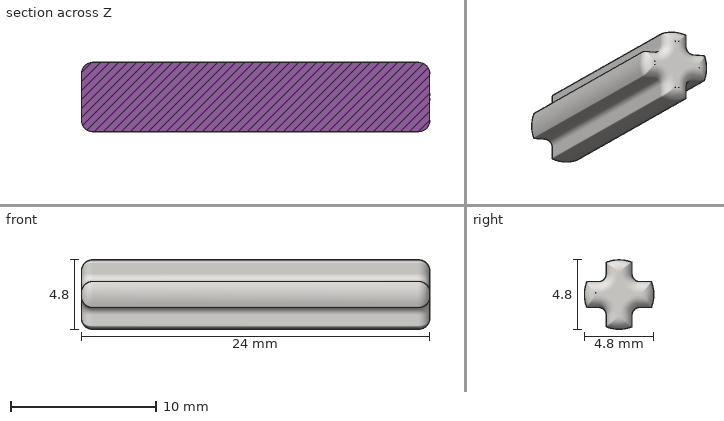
import cadquery as cq

length = 24.0
outer_diameter = 4.8
arm_width = 1.8
inner_corner_radius = 0.5
end_radius = 0.8
arm_edge_radius = 0.1

core_reach = arm_width
core_box = cq.selectors.BoxSelector(
    (-length, -core_reach, -core_reach),
    (length, core_reach, core_reach),
)
long_edges = cq.selectors.ParallelDirSelector(cq.Vector(1, 0, 0))


def make_cross_bar():
    """Two crossed slabs, trimmed by a cylinder so the arm tips are round."""
    flat_slab = cq.Workplane("XY").box(length, outer_diameter, arm_width)
    upright_slab = cq.Workplane("XY").box(length, arm_width, outer_diameter)
    envelope = cq.Workplane("YZ").circle(outer_diameter / 2).extrude(length / 2, both=True)
    return flat_slab.union(upright_slab).intersect(envelope)


def round_inner_corners(bar):
    """Fillet the four long edges where neighbouring arms meet."""
    corner_edges = cq.selectors.AndSelector(long_edges, core_box)
    return bar.edges(corner_edges).fillet(inner_corner_radius)


def round_ends(bar):
    """Fillet the complete outline of both end faces."""
    return bar.faces("<X or >X").edges().fillet(end_radius)


def round_arm_edges(bar):
    """Fillet the long edges between arm sides and tips."""
    tip_edges = cq.selectors.SubtractSelector(long_edges, core_box)
    return bar.edges(tip_edges).fillet(arm_edge_radius)


result = round_arm_edges(round_ends(round_inner_corners(make_cross_bar())))